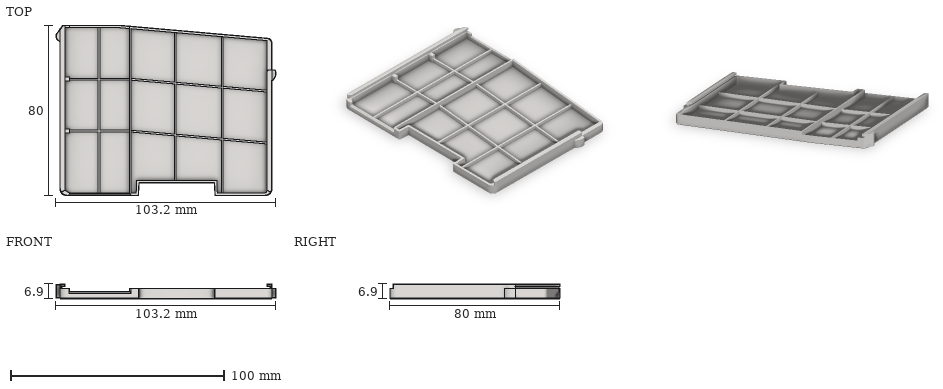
import cadquery as cq
import math

half_width = 49.8
half_depth = 40.0
half_width_over_hooks = 51.6
wall_height = 4.9
rail_height = 6.9
floor_thickness = 1.0
bottom_chamfer = 0.3

side_wall = 2.3
end_wall = 1.1
pocket_half_width = half_width - side_wall
pocket_front = end_wall - half_depth

back_bend_x = -21.7
back_angle = 5.0
back_slope = math.tan(math.radians(back_angle))
back_right_y = half_depth - back_slope * (half_width - back_bend_x)
corner_radius = 3.1
back_corner_radius = 2.3
left_cut_x = -48.5
left_hook_tangent = (-51.4, 35.8)

notch_left = -12.6
notch_right = 22.7
notch_back = -34.0
notch_flare = 0.3

rib_thickness = 0.8
rib_top = 3.1
low_rib_xs = (-31.4, 4.3, 26.4)
tall_rib_x = -16.7
cross_rib_ys = (14.7, -9.7)

post_length = 2.3
post_width = 1.9
post_end_x = post_length - pocket_half_width

low_back_height = 3.3
low_back_reach = 2.3
low_front_inner = 3.4
low_front_outer = 2.6
low_front_ledge = 0.3
low_left_outer = -45.7

rail_web = 0.9
slot_top = 5.9
rail_end_inner_y = -37.5
rail_end_outer_y = -38.7
right_rail_back = 19.0
rail_back_radius = 0.8

hook_bottom = 0.4
left_hook_top = 6.6
left_hook_front_y = 32.4
left_hook_tip_y = 34.8
right_hook_front_y = 13.8
right_hook_tip_y = 17.4
right_hook_back_x = 51.3

left_fill_depth = 1.4
right_fill = 0.9


def prism(points, bottom, top):
    """Upright prism on a plan polygon."""
    return cq.Workplane("XY").workplane(offset=bottom).polyline(points).close().extrude(top - bottom)


def block(x_range, y_range, z_range):
    """Box given by its limits along the three axes."""
    sizes = [high - low for low, high in (x_range, y_range, z_range)]
    return cq.Workplane("XY").box(*sizes, centered=False).translate((x_range[0], y_range[0], z_range[0]))


def back_edge_y(x):
    """Outer back edge of the tray at a given x."""
    return half_depth - back_slope * max(x - back_bend_x, 0)


cut_slope = (half_depth - left_hook_tangent[1]) / (left_cut_x - left_hook_tangent[0])
left_cut_y = half_depth - cut_slope * (half_width + left_cut_x)


def solid_outline(height):
    """Outer plan of the tray without the notch, with its corners rounded."""
    points = [
        (-half_width, -half_depth),
        (half_width, -half_depth),
        (half_width, back_right_y),
        (back_bend_x, half_depth),
        (left_cut_x, half_depth),
        (-half_width, left_cut_y),
    ]
    body = prism(points, 0, height)
    body = body.edges("|Z and <Y").fillet(corner_radius)
    right_back = cq.selectors.NearestToPointSelector((half_width, back_right_y, height / 2))
    body = body.edges(right_back).fillet(back_corner_radius)
    return body.faces("<Z").edges().chamfer(bottom_chamfer)


def notch(offset):
    """Front notch, grown by an offset on its closed sides."""
    mouth = -half_depth
    return prism(
        [
            (notch_left - notch_flare - offset, mouth),
            (notch_left - offset, notch_back + offset),
            (notch_right + offset, notch_back + offset),
            (notch_right + notch_flare + offset, mouth),
        ],
        0,
        rail_height,
    )


def pocket():
    """Space inside the walls, with filled front corners."""
    back_wall = end_wall / math.cos(math.radians(back_angle))
    inside = prism(
        [
            (post_end_x, pocket_front),
            (pocket_half_width - right_fill, pocket_front),
            (pocket_half_width, pocket_front + right_fill),
            (pocket_half_width, back_edge_y(pocket_half_width) - back_wall),
            (back_bend_x, half_depth - end_wall),
            (-pocket_half_width, half_depth - end_wall),
            (-pocket_half_width, pocket_front + left_fill_depth),
        ],
        floor_thickness,
        rail_height,
    )
    return inside.cut(notch(end_wall))


def ribs():
    """Lengthwise ribs, bent cross ribs and the posts at their left ends."""
    half = rib_thickness / 2
    y_range = (-half_depth, half_depth)
    grid = block((tall_rib_x - half, tall_rib_x + half), y_range, (0, wall_height))
    for x in low_rib_xs:
        grid = grid.union(block((x - half, x + half), y_range, (0, rib_top)))
    right_drop = back_slope * (half_width - tall_rib_x)
    for y in cross_rib_ys:
        centre_line = [(-half_width, y), (tall_rib_x, y), (half_width, y - right_drop)]
        front_side = [(px, py - half) for px, py in centre_line]
        back_side = [(px, py + half) for px, py in reversed(centre_line)]
        grid = grid.union(prism(front_side + back_side, 0, rib_top))
        post_y = (y - post_width / 2, y + post_width / 2)
        grid = grid.union(block((-half_width, post_end_x), post_y, (0, wall_height)))
    return grid


def low_walls():
    """Material removed above the lowered walls; the front one has a sloping top."""
    right_inner = tall_rib_x - rib_thickness / 2
    right_outer = tall_rib_x + rib_thickness / 2
    back = block(
        (post_end_x, right_inner),
        (half_depth - low_back_reach, half_depth),
        (low_back_height, rail_height),
    )
    slope_profile = [
        (-half_depth, low_front_outer),
        (pocket_front - low_front_ledge, low_front_inner),
        (pocket_front, low_front_inner),
        (pocket_front, rail_height),
        (-half_depth, rail_height),
    ]
    front = cq.Workplane("YZ").polyline(slope_profile).close().extrude(half_width, both=True)
    flared_plan = [
        (low_left_outer, -half_depth),
        (right_outer, -half_depth),
        (right_inner, pocket_front),
        (post_end_x, pocket_front),
    ]
    return back.union(front.intersect(prism(flared_plan, 0, rail_height)))


def rails():
    """The two rails along the side walls, with the slots under their lips."""
    left = prism(
        [
            (-half_width, rail_end_outer_y),
            (-pocket_half_width, rail_end_inner_y),
            (-pocket_half_width, half_depth),
            (-half_width, half_depth),
        ],
        wall_height,
        rail_height,
    )
    right = prism(
        [
            (half_width, rail_end_outer_y),
            (half_width, right_rail_back),
            (pocket_half_width, right_rail_back),
            (pocket_half_width, rail_end_inner_y),
        ],
        wall_height,
        rail_height,
    )
    inner_back = cq.selectors.NearestToPointSelector((pocket_half_width, right_rail_back, slot_top))
    right = right.edges(inner_back).fillet(rail_back_radius)
    web_inside = half_width - rail_web
    slots = block((-web_inside, web_inside), (-half_depth, half_depth), (wall_height, slot_top))
    return left.union(right).intersect(solid_outline(rail_height)).cut(slots)


def left_hook():
    """Hook whose flank carries on the corner cut and whose tip is round."""
    return (
        cq.Workplane("XY")
        .workplane(offset=hook_bottom)
        .moveTo(-half_width, left_cut_y)
        .lineTo(*left_hook_tangent)
        .threePointArc((-half_width_over_hooks, left_hook_tip_y), (-half_width, left_hook_front_y))
        .lineTo(rail_web - half_width, left_hook_front_y)
        .lineTo(rail_web - half_width, left_cut_y)
        .close()
        .extrude(left_hook_top - hook_bottom)
    )


def right_hook():
    """Hook with a square back and a round tip."""
    return (
        cq.Workplane("XY")
        .workplane(offset=hook_bottom)
        .moveTo(half_width - rail_web, right_rail_back)
        .lineTo(right_hook_back_x, right_rail_back)
        .threePointArc((half_width_over_hooks, right_hook_tip_y), (half_width, right_hook_front_y))
        .lineTo(half_width - rail_web, right_hook_front_y)
        .close()
        .extrude(wall_height - hook_bottom)
    )


outline = solid_outline(wall_height)
tray = outline.cut(pocket())
tray = tray.union(ribs().intersect(outline))
tray = tray.cut(low_walls()).cut(notch(0))
result = tray.union(rails()).union(left_hook()).union(right_hook()).clean()